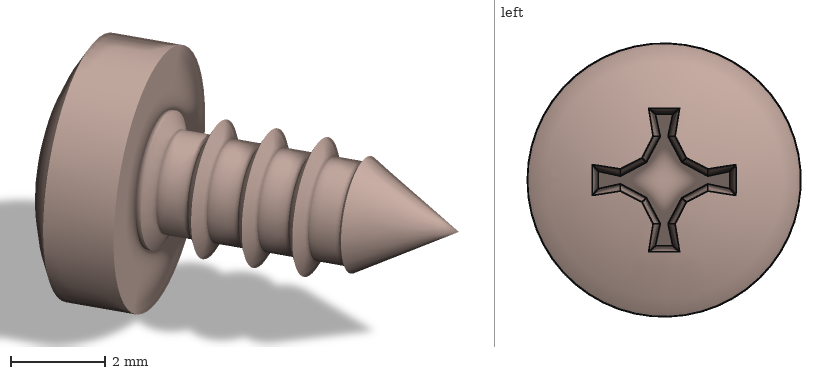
import cadquery as cq
import math

head_radius = 2.9
head_back = 2.44
dome_radius = 5.12

core_radius = 1.13
ridge_radius = 1.5
ridge_half_width = 0.22
ridge_pitch = 1.14
ridge_count = 3
collar_end = 2.55
point_start = 6.97
point_radius = 1.27
tip = 9.17

recess_floor = 1.56
neck_distance = 0.93
mouth_reach, mouth_end_half, mouth_neck_half, mouth_corner = 1.54, 0.35, 0.24, 0.47
floor_reach, floor_end_half, floor_neck_half, floor_corner = 1.39, 0.18, 0.08, 0.38

def dome_sag(radius):
    """Distance the dome falls back from its apex at a given radius."""
    return dome_radius - math.sqrt(dome_radius**2 - radius**2)


dome_apex = -dome_sag(math.hypot(mouth_corner, mouth_corner))
dome_back = dome_apex + dome_sag(head_radius)


def make_body():
    """Head, collar, ridged shank and point turned about the X axis."""
    mid_radius = head_radius / 2
    mid_x = dome_apex + dome_sag(mid_radius)
    profile = (
        cq.Workplane("XY")
        .moveTo(dome_apex, 0)
        .threePointArc((mid_x, mid_radius), (dome_back, head_radius))
        .lineTo(head_back, head_radius)
        .lineTo(head_back, ridge_radius)
        .lineTo(collar_end, ridge_radius)
        .lineTo(collar_end + ridge_half_width, core_radius)
    )
    for i in range(1, ridge_count + 1):
        peak = collar_end + i * ridge_pitch
        profile = (
            profile.lineTo(peak - ridge_half_width, core_radius)
            .lineTo(peak, ridge_radius)
            .lineTo(peak + ridge_half_width, core_radius)
        )
    flare_slope = (ridge_radius - core_radius) / ridge_half_width
    flare_start = point_start - (point_radius - core_radius) / flare_slope
    profile = (
        profile.lineTo(flare_start, core_radius)
        .lineTo(point_start, point_radius)
        .lineTo(tip, 0)
        .close()
    )
    return profile.revolve(360, (0, 0, 0), (1, 0, 0))


def cross_points(reach, end_half, neck_half, corner):
    """Outline of a four-winged cross whose wings widen outwards."""
    wing = [
        (neck_distance, -neck_half),
        (reach, -end_half),
        (reach, end_half),
        (neck_distance, neck_half),
        (corner, corner),
    ]
    points = []
    for _ in range(4):
        points += wing
        wing = [(-v, u) for u, v in wing]
    return points


def make_recess():
    """Tapered cross, carried forward at the same taper to clear the dome."""
    mouth = (mouth_reach, mouth_end_half, mouth_neck_half, mouth_corner)
    floor = (floor_reach, floor_end_half, floor_neck_half, floor_corner)
    extension = -dome_apex / recess_floor
    front = [m + (m - f) * extension for m, f in zip(mouth, floor)]
    return (
        cq.Workplane("YZ", origin=(dome_apex, 0, 0))
        .polyline(cross_points(*front))
        .close()
        .workplane(offset=recess_floor - dome_apex)
        .polyline(cross_points(*floor))
        .close()
        .loft(ruled=True, combine=True)
    )


result = make_body().cut(make_recess())